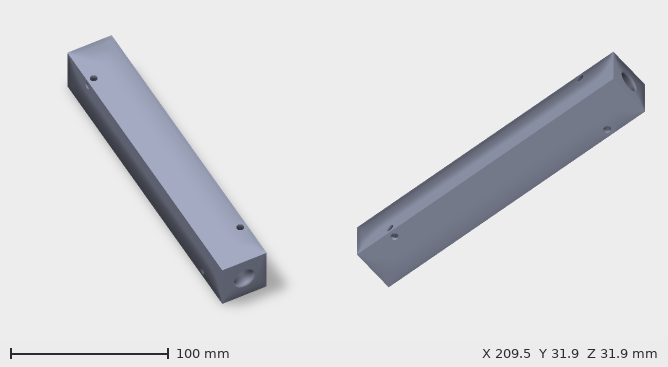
import cadquery as cq

length = 209.5
side = 31.9

bore_diameter = 13.5
countersink_diameter = 15.0
countersink_depth = (countersink_diameter - bore_diameter) / 2

cross_hole_diameter = 5.0
cross_hole_x = 77.7
cross_hole_offset = 11.3

bar = cq.Workplane("XY").box(length, side, side)


def drill_bore(body):
    """Drill the bore from end to end and chamfer both mouths."""
    body = body.faces("<X").workplane().hole(bore_diameter)
    mouths = body.faces("<X or >X").edges("%CIRCLE")
    return mouths.chamfer(countersink_depth)


def cross_holes(plane, points):
    """Cylinders that pass through the bar, normal to the given plane."""
    return cq.Workplane(plane).pushPoints(points).circle(cross_hole_diameter / 2).extrude(side, both=True)


front_holes = cross_holes("XZ", [(-cross_hole_x, cross_hole_offset), (cross_hole_x, -cross_hole_offset)])
top_holes = cross_holes("XY", [(-cross_hole_x, -cross_hole_offset), (cross_hole_x, cross_hole_offset)])

result = drill_bore(bar).cut(front_holes).cut(top_holes)